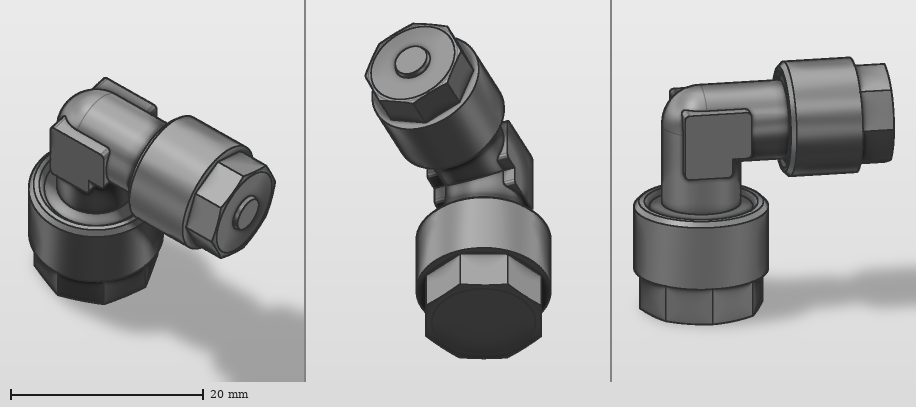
import cadquery as cq
import math

TUBE_RADIUS = 4.1
TIP_RADIUS = 1.78
TIP_BASE_RADIUS = 1.95

PAD_HALF_WIDTH = 2.5
PAD_REACH = 4.5
PAD_CORNER_RADIUS = 0.49

NUT_START = 8.5
EDGE_CHAMFER = 0.5
GRIP_END_ANGLE = 15
FLATS = 8

LOWER_RADIUS = 14.0 / 2
LOWER_GRIP_WIDTH = 12.0
LOWER_SHOULDER = 15.8
LOWER_MOUTH_RADIUS = 5.9
LOWER_BORE_RADIUS = 10.77 / 2

SIDE_RADIUS = 6.0
SIDE_GRIP_WIDTH = 10.0
SIDE_SHOULDER = 16.0
SIDE_NUT_END = 19.5
SIDE_MOUTH_RADIUS = 5.08
SIDE_BORE_RADIUS = 4.7

OVERALL_LENGTH = 27.0
LEG_REACH = OVERALL_LENGTH - LOWER_RADIUS
FLARE_DEPTH = 0.05


def revolve_about_z(points):
    """Revolve a closed (radius, z) outline about the Z axis."""
    return cq.Workplane("XZ").polyline(points).close().revolve(360, (0, 0), (0, 1))


def turn_to_side(leg):
    """Turn a body on the +Z axis onto the +X axis."""
    return leg.rotate((0, 0, 0), (0, 1, 0), 90)


def turn_down(leg):
    """Turn a body on the +Z axis onto the -Z axis."""
    return leg.rotate((0, 0, 0), (1, 0, 0), 180)


def bore_start(mouth_radius, bore_radius):
    """Distance along the axis at which the 45 degree nut mouth reaches the bore."""
    return NUT_START + mouth_radius - bore_radius


def make_nut(radius, grip_width, shoulder, end, mouth_radius, bore_radius):
    """Nut along +Z, with a bevelled collar, an octagonal grip and a countersunk bore."""
    collar = cq.Workplane("XY").workplane(offset=NUT_START).circle(radius).extrude(shoulder - NUT_START)
    collar = collar.faces("<Z").chamfer(EDGE_CHAMFER)

    flat_radius = grip_width / 2
    corner_radius = flat_radius / math.cos(math.pi / FLATS)
    grip = (
        cq.Workplane("XY").workplane(offset=shoulder)
        .polygon(FLATS, 2 * corner_radius).extrude(end - shoulder)
    )
    bevel_depth = (corner_radius - flat_radius) * math.tan(math.radians(GRIP_END_ANGLE))
    bevel_envelope = revolve_about_z([
        (0, shoulder),
        (corner_radius, shoulder),
        (corner_radius, end - bevel_depth),
        (flat_radius, end),
        (0, end),
    ])
    grip = grip.intersect(bevel_envelope)

    opening = revolve_about_z([
        (0, NUT_START),
        (mouth_radius, NUT_START),
        (bore_radius, bore_start(mouth_radius, bore_radius)),
        (bore_radius, end),
        (0, end),
    ])
    return collar.union(grip).cut(opening)


def make_leg(bore_radius, mouth_radius, nut_end):
    """Elbow leg along +Z: a tube that flares out to fill the bore of its nut."""
    return revolve_about_z([
        (0, 0),
        (TUBE_RADIUS, 0),
        (TUBE_RADIUS, NUT_START + FLARE_DEPTH),
        (bore_radius, bore_start(mouth_radius, bore_radius)),
        (bore_radius, nut_end),
        (0, nut_end),
    ])


def make_tip():
    """Tapered end of the side leg, along +Z, standing out of its nut."""
    return revolve_about_z([
        (0, SIDE_NUT_END),
        (TIP_BASE_RADIUS, SIDE_NUT_END),
        (TIP_RADIUS, LEG_REACH),
        (0, LEG_REACH),
    ])


def make_pads():
    """L-shaped pads, both cut from one block through the bend; the inner corner stays sharp."""
    block = (
        cq.Workplane("XZ")
        .polyline([
            (-PAD_HALF_WIDTH, PAD_HALF_WIDTH),
            (PAD_REACH, PAD_HALF_WIDTH),
            (PAD_REACH, -PAD_HALF_WIDTH),
            (PAD_HALF_WIDTH, -PAD_HALF_WIDTH),
            (PAD_HALF_WIDTH, -PAD_REACH),
            (-PAD_HALF_WIDTH, -PAD_REACH),
        ])
        .close()
        .extrude(PAD_REACH, both=True)
    )
    corners = cq.selectors.ParallelDirSelector(cq.Vector(0, 1, 0))
    inner_corner = cq.selectors.NearestToPointSelector((PAD_HALF_WIDTH, 0, -PAD_HALF_WIDTH))
    outer_corners = cq.selectors.SubtractSelector(corners, inner_corner)
    return block.edges(outer_corners).fillet(PAD_CORNER_RADIUS)


def make_elbow():
    """Both legs, rounded on the outside of the bend, with the wrench pads and the tip."""
    lower_leg = turn_down(make_leg(LOWER_BORE_RADIUS, LOWER_MOUTH_RADIUS, LEG_REACH))
    side_leg = turn_to_side(make_leg(SIDE_BORE_RADIUS, SIDE_MOUTH_RADIUS, SIDE_NUT_END))
    bend = cq.Workplane("XY").sphere(TUBE_RADIUS)
    return lower_leg.union(side_leg).union(bend).union(make_pads()).union(turn_to_side(make_tip()))


elbow = make_elbow()
lower_nut = turn_down(make_nut(
    LOWER_RADIUS, LOWER_GRIP_WIDTH, LOWER_SHOULDER, LEG_REACH, LOWER_MOUTH_RADIUS, LOWER_BORE_RADIUS,
))
side_nut = turn_to_side(make_nut(
    SIDE_RADIUS, SIDE_GRIP_WIDTH, SIDE_SHOULDER, SIDE_NUT_END, SIDE_MOUTH_RADIUS, SIDE_BORE_RADIUS,
))

result = cq.Compound.makeCompound([elbow.val(), lower_nut.val(), side_nut.val()])